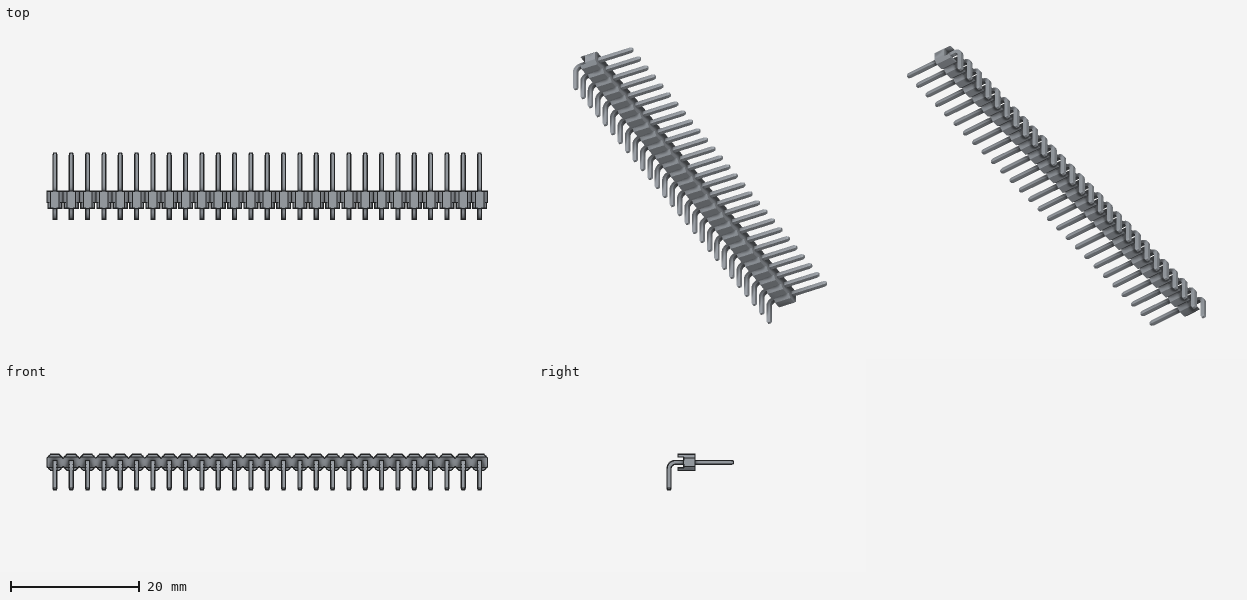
import cadquery as cq
import math

pin_count = 27
strip_length = 68.6
pitch = strip_length / pin_count

body_height = pitch
body_depth = 1.8
cell_chamfer = 0.6
foot_length = 0.9
foot_thickness = 0.445

pin_width = 0.64
total_depth = 10.35
total_height = 5.55
straight_length = 6.0
bend_inner_radius = 0.7
tip_taper_length = 0.4
tail_taper_length = 0.3
taper_inset = 0.1

half_pin = pin_width / 2
half_height = body_height / 2
pin_front_y = straight_length - total_depth
pin_bottom_z = half_height - total_height
straight_end_y = straight_length - tip_taper_length
wire_bottom_z = pin_bottom_z + tail_taper_length
bend_outer_radius = bend_inner_radius + pin_width
bend_center_y = pin_front_y + bend_outer_radius
bend_center_z = half_pin - bend_outer_radius


def make_cell():
    """One octagonal insulator cell with its upper and lower spacer feet."""
    full_depth = body_depth + foot_length
    cell = (
        cq.Workplane("XY")
        .box(pitch, full_depth, body_height, centered=(True, False, True))
        .translate((0, -full_depth, 0))
        .edges("|Y")
        .chamfer(cell_chamfer)
    )
    gap_between_feet = (
        cq.Workplane("XY")
        .box(pitch, foot_length, body_height - 2 * foot_thickness, centered=(True, False, True))
        .translate((0, -full_depth, 0))
    )
    return cell.cut(gap_between_feet)


def make_taper(length):
    """A pin end: a square frustum narrowing from the full wire at Y = 0 toward +Y."""
    return (
        cq.Workplane("XZ")
        .rect(pin_width, pin_width)
        .workplane(offset=-length)
        .rect(pin_width - 2 * taper_inset, pin_width - 2 * taper_inset)
        .loft(ruled=True)
    )


def make_pin():
    """One bent square pin with a tapered tip and tail."""
    diagonal = math.sqrt(0.5)
    outer_mid = (
        bend_center_y - bend_outer_radius * diagonal,
        bend_center_z + bend_outer_radius * diagonal,
    )
    inner_mid = (
        bend_center_y - bend_inner_radius * diagonal,
        bend_center_z + bend_inner_radius * diagonal,
    )
    wire = (
        cq.Workplane("YZ")
        .moveTo(straight_end_y, half_pin)
        .lineTo(bend_center_y, half_pin)
        .threePointArc(outer_mid, (pin_front_y, bend_center_z))
        .lineTo(pin_front_y, wire_bottom_z)
        .lineTo(pin_front_y + pin_width, wire_bottom_z)
        .lineTo(pin_front_y + pin_width, bend_center_z)
        .threePointArc(inner_mid, (bend_center_y, -half_pin))
        .lineTo(straight_end_y, -half_pin)
        .close()
        .extrude(half_pin, both=True)
    )
    tail = make_taper(tail_taper_length).rotate((0, 0, 0), (1, 0, 0), -90)
    tail = tail.translate((0, pin_front_y + half_pin, wire_bottom_z))
    tip = make_taper(tip_taper_length).translate((0, straight_end_y, 0))
    return wire.union(tip).union(tail)


contact = make_cell().union(make_pin())
first_x = (pitch - strip_length) / 2

result = contact.translate((first_x, 0, 0))
for index in range(1, pin_count):
    result = result.union(contact.translate((first_x + index * pitch, 0, 0)))
result = result.clean()